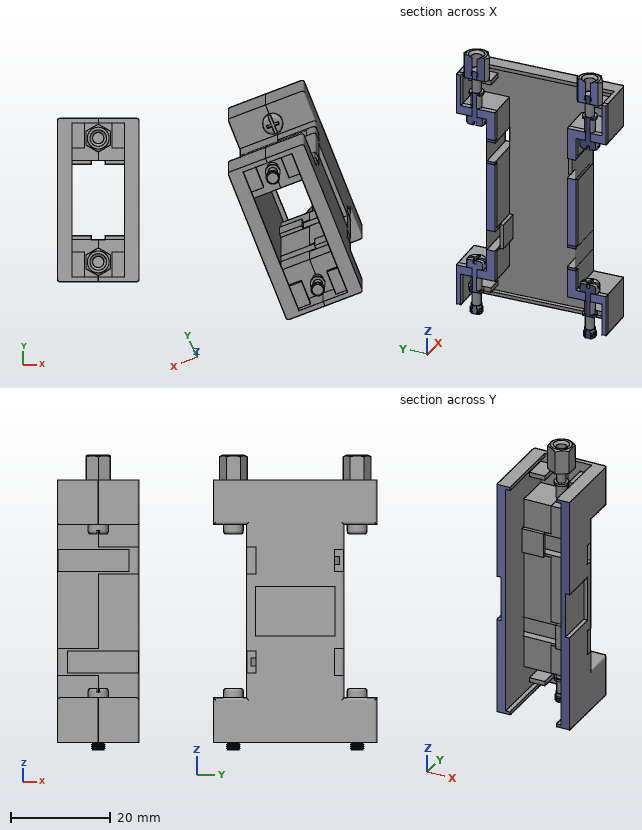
import cadquery as cq
import math

WIDTH = 16.5
FLANGE_LENGTH = 33.0
WAIST_LENGTH = 19.75
HEIGHT = 53.0
FLANGE_HEIGHT = 9.05
EDGE_ROUND = 0.55

WALL = 2.0
WAIST_SIDE_WALL = 1.9
FLANGE_SIDE_WALL = 1.0
LIP_OVERHANG = 0.95
LIP_THICKNESS = 0.8
PAD_LENGTH = 5.0
PAD_GAP = 5.5
PAD_THICKNESS = 1.0
PAD_DEPTH = 2.1

LABEL_LENGTH = 16.05
LABEL_HEIGHT = 10.0
LABEL_DEPTH = 0.9

TAB_HEIGHT = 5.5
TAB_LEVEL = 10.25
TAB_ROUND = 0.7
GROOVE_HEIGHT = 4.4
GROOVE_DEPTH = 1.7
RIB_THICKNESS = 0.8
RIB_SEAM_GAP = 1.35
CATCH_HEIGHT = 1.6
CATCH_RISE = 0.95
CATCH_RUN = 1.0

SCREW_SPACING = 25.0
HEAD_RADIUS = 2.0
HEAD_HEIGHT = 1.9
HEAD_ROUND = 0.6
SHANK_RADIUS = 1.15
TIP_PROJECTION = 1.5
NECK_RADIUS = 0.95
COLLAR_RADIUS = 1.5
COLLAR_DEPTH = 3.5
COLLAR_THICKNESS = 0.5
THREAD_RADIUS = 1.34
THREAD_PITCH = 0.385
THREAD_COUNT = 3
FIRST_CREST = 0.3
RIDGE_WIDTH = 0.35
SLOT_WIDTH = 0.6
SLOT_DEPTH = 0.8
CROSS_LENGTH = 2.5

HEX_ACROSS_FLATS = 4.9
HEX_PROJECTION = 5.0
HEX_SINK = 0.5
HEX_FACE_RADIUS = 2.2
HEX_CORNER_DROP = 0.35
BORE_RADIUS = 1.15
COUNTERSINK_RADIUS = 1.65

HALF_WIDTH = WIDTH / 2
HALF_FLANGE = FLANGE_LENGTH / 2
HALF_WAIST = WAIST_LENGTH / 2
HALF_HEIGHT = HEIGHT / 2
WAIST_TOP = HALF_HEIGHT - FLANGE_HEIGHT
INNER_X = HALF_WIDTH - WALL
INNER_WAIST = HALF_WAIST - WAIST_SIDE_WALL
INNER_FLANGE = HALF_FLANGE - FLANGE_SIDE_WALL
FLOOR_TOP = WAIST_TOP + WALL
MOUTH_X = INNER_X - LIP_OVERHANG
LIP_BOTTOM = HALF_HEIGHT - LIP_THICKNESS
HALF_SPACING = SCREW_SPACING / 2


def block(x_range, y_range, z_range):
    """Box spanning the given ranges."""
    (x0, x1), (y0, y1), (z0, z1) = x_range, y_range, z_range
    return cq.Workplane("XY").box(x1 - x0, y1 - y0, z1 - z0, centered=False).translate((x0, y0, z0))


def turn_over(shape):
    """Half turn about X, taking the front upper side to the back lower side."""
    return shape.rotate((0, 0, 0), (1, 0, 0), 180)


def half_envelope():
    """Solid I-shaped half on the -X side with rounded borders on its broad face."""
    quarter = [
        (HALF_FLANGE, HALF_HEIGHT),
        (HALF_FLANGE, WAIST_TOP),
        (HALF_WAIST, WAIST_TOP),
    ]
    right = quarter + [(y, -z) for y, z in reversed(quarter)]
    outline = right + [(-y, z) for y, z in reversed(right)]
    half = cq.Workplane("YZ").polyline(outline).close().extrude(-HALF_WIDTH)
    borders = half.faces("<X").edges().filter(lambda edge: abs(edge.Center().z) < HALF_HEIGHT - EDGE_ROUND)
    return borders.fillet(EDGE_ROUND)


def flange_cavity():
    """Hollow of the upper flange, narrowed by the lip at its mouth and by the corner pads."""
    cavity = block((-INNER_X, INNER_X), (-INNER_FLANGE, INNER_FLANGE), (FLOOR_TOP, LIP_BOTTOM))
    mouth = block((-MOUTH_X, MOUTH_X), (-INNER_FLANGE, INNER_FLANGE), (LIP_BOTTOM, HALF_HEIGHT))
    cavity = cavity.union(mouth)
    pad_top = HALF_HEIGHT - PAD_DEPTH
    pad = block(
        (-INNER_X, -PAD_GAP / 2),
        (INNER_FLANGE - PAD_LENGTH, INNER_FLANGE),
        (pad_top - PAD_THICKNESS, pad_top),
    )
    return cavity.cut(pad).cut(pad.mirror("XZ"))


def interior():
    """Complete hollow: the waist passage, both flange cavities and the screw holes."""
    passage = block((-INNER_X, INNER_X), (-INNER_WAIST, INNER_WAIST), (-FLOOR_TOP, FLOOR_TOP))
    upper = flange_cavity()
    screw_holes = (
        cq.Workplane("XY", origin=(0, 0, -HALF_HEIGHT))
        .pushPoints([(0, HALF_SPACING), (0, -HALF_SPACING)])
        .circle(SHANK_RADIUS)
        .extrude(HEIGHT)
    )
    return passage.union(upper).union(turn_over(upper)).union(screw_holes)


def tab():
    """Snap tab at the front upper side that reaches across the seam to the +X face."""
    bar = block(
        (0, HALF_WIDTH),
        (-HALF_WAIST, -INNER_WAIST),
        (TAB_LEVEL - TAB_HEIGHT / 2, TAB_LEVEL + TAB_HEIGHT / 2),
    )
    return bar.edges(">X and <Y").fillet(TAB_ROUND)


def tab_groove():
    """Groove from the -X face along the inside of the tab, up to the back of the catch."""
    return block(
        (-HALF_WIDTH, INNER_X),
        (-INNER_WAIST - GROOVE_DEPTH, -INNER_WAIST),
        (TAB_LEVEL - GROOVE_HEIGHT / 2, TAB_LEVEL + GROOVE_HEIGHT / 2),
    )


def tab_window():
    """Opening at the front lower side for the tab of the other shell."""
    return block(
        (-HALF_WIDTH, 0),
        (-HALF_WAIST, -INNER_WAIST),
        (-TAB_LEVEL - TAB_HEIGHT / 2, -TAB_LEVEL + TAB_HEIGHT / 2),
    )


def tab_catch():
    """Rib behind the tab window with the ramped catch that holds the other tab."""
    rib = block(
        (-INNER_X, -RIB_SEAM_GAP),
        (-INNER_WAIST, -INNER_WAIST + RIB_THICKNESS),
        (-TAB_LEVEL - TAB_HEIGHT / 2, -TAB_LEVEL + TAB_HEIGHT / 2),
    )
    ramp = (
        cq.Workplane("XY", origin=(0, 0, -TAB_LEVEL - CATCH_HEIGHT / 2))
        .polyline([
            (-INNER_X + CATCH_RUN, -INNER_WAIST),
            (-INNER_X, -INNER_WAIST),
            (-INNER_X, -INNER_WAIST - CATCH_RISE),
        ])
        .close()
        .extrude(CATCH_HEIGHT)
    )
    return rib.union(ramp)


def label_recess():
    """Shallow rectangular recess in the middle of the broad face."""
    return block(
        (-HALF_WIDTH, -HALF_WIDTH + LABEL_DEPTH),
        (-LABEL_LENGTH / 2, LABEL_LENGTH / 2),
        (-LABEL_HEIGHT / 2, LABEL_HEIGHT / 2),
    )


def make_shell():
    """Housing shell on the -X side; two of these, half a turn apart about Z, form the housing."""
    shell = half_envelope().cut(interior()).cut(label_recess())
    for place in (lambda shape: shape, turn_over):
        shell = shell.cut(place(tab_window())).union(place(tab_catch()))
        shell = shell.union(place(tab())).cut(place(tab_groove()))
    return shell


def drive_recess(bottom):
    """Full-width slot along Y crossed by a short arm along X, open at the given head bottom."""
    depth_range = (bottom, bottom + SLOT_DEPTH)
    half_slot = SLOT_WIDTH / 2
    slot = block((-half_slot, half_slot), (-HEAD_RADIUS, HEAD_RADIUS), depth_range)
    arm = block((-CROSS_LENGTH / 2, CROSS_LENGTH / 2), (-half_slot, half_slot), depth_range)
    return slot.union(arm)


def rod(radius, bottom, top):
    """Cylinder on the Z axis between two heights."""
    return cq.Workplane("XY", origin=(0, 0, bottom)).circle(radius).extrude(top - bottom)


def make_screw():
    """Screw on the Z axis, head below the upper flange and threaded tip above the mouth plane."""
    head_bottom = WAIST_TOP - HEAD_HEIGHT
    collar_top = HALF_HEIGHT - COLLAR_DEPTH
    collar_bottom = collar_top - COLLAR_THICKNESS
    neck_top = HALF_HEIGHT - HEX_SINK
    tip = HALF_HEIGHT + TIP_PROJECTION
    head = rod(HEAD_RADIUS, head_bottom, WAIST_TOP).faces("<Z").edges().fillet(HEAD_ROUND)
    screw = head.cut(drive_recess(head_bottom))
    screw = screw.union(rod(SHANK_RADIUS, WAIST_TOP, collar_bottom))
    screw = screw.union(rod(COLLAR_RADIUS, collar_bottom, collar_top))
    screw = screw.union(rod(NECK_RADIUS, collar_top, neck_top))
    screw = screw.union(rod(SHANK_RADIUS, neck_top, tip))
    for turn in range(THREAD_COUNT):
        crest = tip - FIRST_CREST - turn * THREAD_PITCH
        screw = screw.union(thread_ridge(crest))
    return screw


def thread_ridge(crest):
    """Ring of triangular section with its crest at the given height."""
    half_base = RIDGE_WIDTH / 2
    return (
        cq.Workplane("XZ")
        .moveTo(0, crest - half_base)
        .lineTo(SHANK_RADIUS, crest - half_base)
        .lineTo(THREAD_RADIUS, crest)
        .lineTo(SHANK_RADIUS, crest + half_base)
        .lineTo(0, crest + half_base)
        .close()
        .revolve(360, (0, 0), (0, 1))
    )


def make_standoff(screw):
    """Hexagonal standoff on the Z axis, screwed onto the tip of the given screw."""
    bottom = HALF_HEIGHT - HEX_SINK
    top = HALF_HEIGHT + HEX_PROJECTION
    corner_radius = HEX_ACROSS_FLATS / math.sqrt(3)
    corners = [
        (corner_radius * math.sin(math.radians(angle)), corner_radius * math.cos(math.radians(angle)))
        for angle in range(0, 360, 60)
    ]
    prism = cq.Workplane("XY", origin=(0, 0, bottom)).polyline(corners).close().extrude(top - bottom)
    turned_blank = (
        cq.Workplane("XZ")
        .moveTo(0, bottom)
        .lineTo(corner_radius, bottom)
        .lineTo(corner_radius, top - HEX_CORNER_DROP)
        .lineTo(HEX_FACE_RADIUS, top)
        .lineTo(0, top)
        .close()
        .revolve(360, (0, 0), (0, 1))
    )
    countersink_depth = COUNTERSINK_RADIUS - BORE_RADIUS
    bore = (
        cq.Workplane("XZ")
        .moveTo(0, HALF_HEIGHT + TIP_PROJECTION)
        .lineTo(BORE_RADIUS, HALF_HEIGHT + TIP_PROJECTION)
        .lineTo(BORE_RADIUS, top - countersink_depth)
        .lineTo(COUNTERSINK_RADIUS, top)
        .lineTo(0, top)
        .close()
        .revolve(360, (0, 0), (0, 1))
    )
    return prism.intersect(turned_blank).cut(bore).cut(screw)


left_shell = make_shell()
right_shell = left_shell.rotate((0, 0, 0), (0, 0, 1), 180)

screw = make_screw()
standoff = make_standoff(screw)
screws = []
standoffs = []
for y in (-HALF_SPACING, HALF_SPACING):
    upper_screw = screw.translate((0, y, 0))
    screws += [upper_screw, turn_over(upper_screw)]
    standoffs.append(standoff.translate((0, y, 0)))

bodies = [left_shell, right_shell] + screws + standoffs
result = cq.Compound.makeCompound([body.val() for body in bodies])